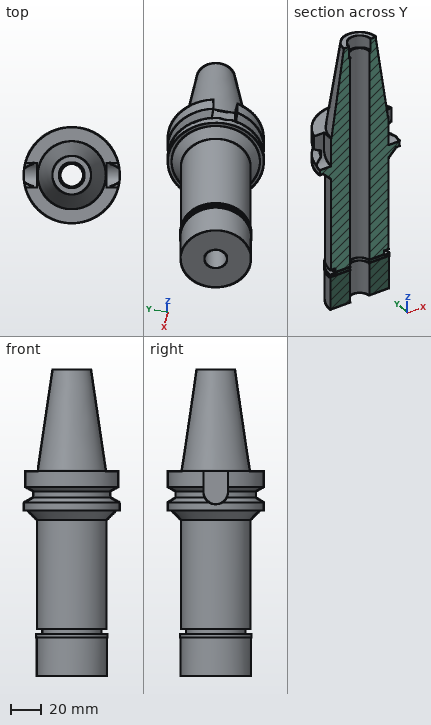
import cadquery as cq

OVERALL_LENGTH = 200.5
GAUGE_Z = 135.0
FLANGE_TOP_Z = 133.9
UPPER_RIM_BOTTOM_Z = 123.6
GROOVE_TOP_Z = 120.6
GROOVE_BOTTOM_Z = 116.6
LOWER_RIM_TOP_Z = 113.5
FLANGE_BOTTOM_Z = 108.0
SHANK_BOTTOM_Z = 30.7
RING_TOP_Z = 27.7
NUT_TOP_Z = 25.3

TAPER_TOP_RADIUS = 12.6
GAUGE_RADIUS = 22.2
FLANGE_RADIUS = 31.5
GROOVE_RADIUS = 26.5
FLANGE_UNDERSIDE_RADIUS = 28.9
SHANK_RADIUS = 22.8
NECK_RADIUS = 19.5
RING_RADIUS = 23.5
NUT_RADIUS = 23.0

SHANK_TOP_Z = FLANGE_BOTTOM_Z - (FLANGE_UNDERSIDE_RADIUS - SHANK_RADIUS)

BORE_RADIUS = 7.5
COUNTERBORE_RADIUS = 8.5
COUNTERBORE_DEPTH = 9.2

SLOT_WIDTH = 16.0
SLOT_FLOOR_X = 22.6
SLOT_BOTTOM_Z = 112.2


def ring(outer_radius, bottom_z, top_z):
    """Plain ring around the through bore."""
    return (
        cq.Workplane("XY", origin=(0, 0, bottom_z))
        .circle(outer_radius)
        .circle(BORE_RADIUS)
        .extrude(top_z - bottom_z)
    )


def make_holder_blank():
    """Turned taper, grooved flange, shank and neck around the stepped bore."""
    counterbore_z = OVERALL_LENGTH - COUNTERBORE_DEPTH
    profile = [
        (COUNTERBORE_RADIUS, OVERALL_LENGTH),
        (TAPER_TOP_RADIUS, OVERALL_LENGTH),
        (GAUGE_RADIUS, GAUGE_Z),
        (GAUGE_RADIUS, FLANGE_TOP_Z),
        (FLANGE_RADIUS, FLANGE_TOP_Z),
        (FLANGE_RADIUS, UPPER_RIM_BOTTOM_Z),
        (GROOVE_RADIUS, GROOVE_TOP_Z),
        (GROOVE_RADIUS, GROOVE_BOTTOM_Z),
        (FLANGE_RADIUS, LOWER_RIM_TOP_Z),
        (FLANGE_RADIUS, FLANGE_BOTTOM_Z),
        (FLANGE_UNDERSIDE_RADIUS, FLANGE_BOTTOM_Z),
        (SHANK_RADIUS, SHANK_TOP_Z),
        (SHANK_RADIUS, SHANK_BOTTOM_Z),
        (NECK_RADIUS, SHANK_BOTTOM_Z),
        (NECK_RADIUS, RING_TOP_Z),
        (BORE_RADIUS, RING_TOP_Z),
        (BORE_RADIUS, counterbore_z),
        (COUNTERBORE_RADIUS, counterbore_z),
    ]
    return cq.Workplane("XZ").polyline(profile).close().revolve(360, (0, 0), (0, 1))


def make_drive_slot(side):
    """Cutter for one slot, on the +X side (side = 1) or the -X side (side = -1)."""
    radius = SLOT_WIDTH / 2
    arc_center_z = SLOT_BOTTOM_Z + radius
    cut_depth = FLANGE_RADIUS - SLOT_FLOOR_X
    return (
        cq.Workplane("YZ", origin=(side * SLOT_FLOOR_X, 0, 0))
        .moveTo(-radius, FLANGE_TOP_Z)
        .lineTo(-radius, arc_center_z)
        .threePointArc((0, SLOT_BOTTOM_Z), (radius, arc_center_z))
        .lineTo(radius, FLANGE_TOP_Z)
        .close()
        .extrude(side * cut_depth)
    )


holder = make_holder_blank()
for slot_side in (-1, 1):
    holder = holder.cut(make_drive_slot(slot_side))

nut_ring = ring(RING_RADIUS, NUT_TOP_Z, RING_TOP_Z)

nut = ring(NUT_RADIUS, 0, NUT_TOP_Z)

result = cq.Compound.makeCompound([holder.val(), nut_ring.val(), nut.val()])